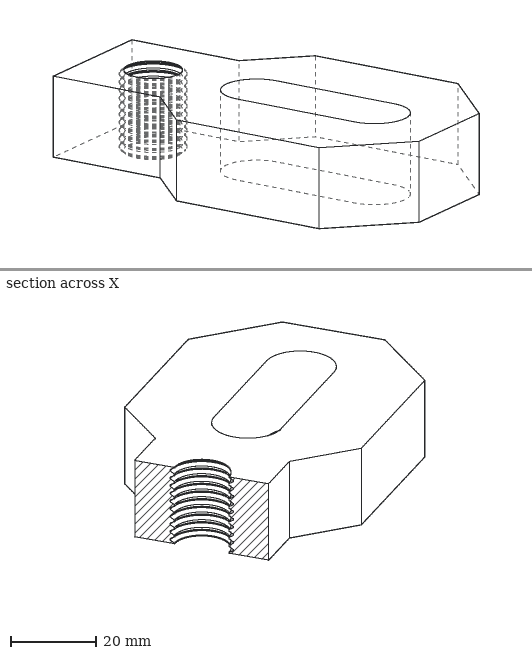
import cadquery as cq
import math

length = 100.0
width = 60.0
thickness = 20.0

neck_length = 30.0
neck_width = 34.0
shoulder = (width - neck_width) / 2

corner_cut = 17.0

slot_length = 50.0
slot_width = 17.0
slot_center_x = 62.5

hole_x = neck_width / 2
thread_diameter = 16.0
pitch = 2.0
thread_angle = 60.0
crest_flat = pitch / 4
root_flat = pitch / 8
flank_height = (pitch - crest_flat - root_flat) / 2
thread_depth = flank_height / math.tan(math.radians(thread_angle / 2))


def make_plate():
    half_width = width / 2
    upper_edge = [
        (0, neck_width / 2),
        (neck_length, neck_width / 2),
        (neck_length + shoulder, half_width),
        (length - corner_cut, half_width),
        (length, half_width - corner_cut),
    ]
    lower_edge = [(x, -y) for x, y in reversed(upper_edge)]
    return cq.Workplane("XY").polyline(upper_edge + lower_edge).close().extrude(thickness)


def make_slot():
    return cq.Workplane("XY").center(slot_center_x, 0).slot2D(slot_length, slot_width).extrude(thickness)


def make_threaded_hole():
    """Revolved bore with one ring groove per pitch, standing for the thread."""
    root_radius = thread_diameter / 2
    crest_radius = root_radius - thread_depth
    groove_half_height = root_flat / 2 + flank_height
    profile = [(0, 0), (crest_radius, 0)]
    for turn in range(round(thickness / pitch)):
        groove_z = (turn + 0.5) * pitch
        profile += [
            (crest_radius, groove_z - groove_half_height),
            (root_radius, groove_z - root_flat / 2),
            (root_radius, groove_z + root_flat / 2),
            (crest_radius, groove_z + groove_half_height),
        ]
    profile += [(crest_radius, thickness), (0, thickness)]
    bore = cq.Workplane("XZ").polyline(profile).close().revolve(360, (0, 0), (0, 1))
    return bore.translate((hole_x, 0, 0))


result = make_plate().cut(make_slot()).cut(make_threaded_hole())